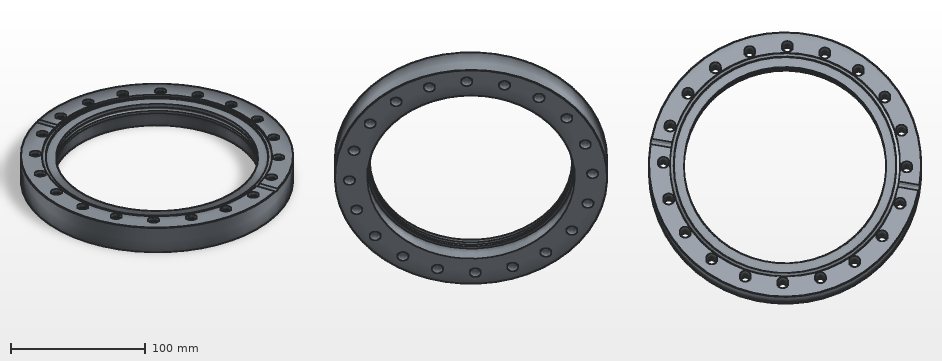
import cadquery as cq
import math

outer_diameter = 203.0
thickness = 22.0
edge_chamfer = 0.5

recess_diameter = 171.3
knife_diameter = 166.0
knife_depth = 0.8
knife_slope = 20.0
seat_diameter = 165.2
seat_depth = 1.6

bore_diameter = 150.5
groove_radius = 1.5
groove_center_z = 15.6
socket_diameter = 154.5
socket_depth = 12.0

bolt_count = 20
bolt_circle_diameter = 181.0
bolt_hole_diameter = 8.3

slot_width = 4.3
slot_depth = 0.8


def flange_ring():
    """Revolve the ring section, which includes the recess, knife edge, bore and socket."""
    outer_radius = outer_diameter / 2
    recess_radius = recess_diameter / 2
    knife_radius = knife_diameter / 2
    bore_radius = bore_diameter / 2
    socket_radius = socket_diameter / 2
    knife_z = thickness - knife_depth
    seat_z = thickness - seat_depth
    flank_drop = (recess_radius - knife_radius) * math.tan(math.radians(knife_slope))
    section = (
        cq.Workplane("XZ")
        .moveTo(socket_radius, 0)
        .lineTo(outer_radius - edge_chamfer, 0)
        .lineTo(outer_radius, edge_chamfer)
        .lineTo(outer_radius, thickness - edge_chamfer)
        .lineTo(outer_radius - edge_chamfer, thickness)
        .lineTo(recess_radius, thickness)
        .lineTo(recess_radius, knife_z - flank_drop)
        .lineTo(knife_radius, knife_z)
        .lineTo(seat_diameter / 2, seat_z)
        .lineTo(bore_radius, seat_z)
        .lineTo(bore_radius, groove_center_z + groove_radius)
        .threePointArc(
            (bore_radius + groove_radius, groove_center_z),
            (bore_radius, groove_center_z - groove_radius),
        )
        .lineTo(bore_radius, socket_depth)
        .lineTo(socket_radius, socket_depth)
        .close()
    )
    return section.revolve(360, (0, 0, 0), (0, 1, 0))


def bolt_holes():
    """Through holes spaced evenly, straddling the X axis."""
    half_pitch = 180 / bolt_count
    return (
        cq.Workplane("XY")
        .polarArray(bolt_circle_diameter / 2, half_pitch, 360, bolt_count)
        .circle(bolt_hole_diameter / 2)
        .extrude(thickness)
    )


def leak_check_slots():
    """Round-bottomed slots along X, from the recess out through the rim on both sides."""
    slot_radius = ((slot_width / 2) ** 2 + slot_depth ** 2) / (2 * slot_depth)
    axis_z = thickness - slot_depth + slot_radius
    rod = (
        cq.Workplane("YZ")
        .center(0, axis_z)
        .circle(slot_radius)
        .extrude(outer_diameter / 2, both=True)
    )
    recess_core = cq.Workplane("XY").circle(recess_diameter / 2).extrude(axis_z + slot_radius)
    return rod.cut(recess_core)


result = flange_ring().cut(bolt_holes()).cut(leak_check_slots())